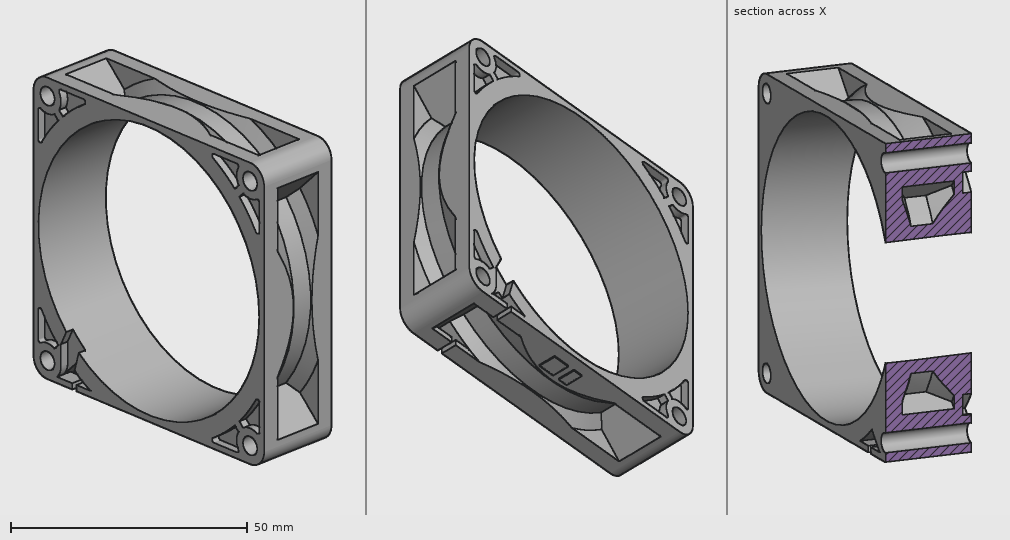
import cadquery as cq

frame_side = 70.0
frame_depth = 20.0
corner_radius = 4.2
bore_radius = 33.45
hole_inset = 4.3
hole_diameter = 4.3
flange_thickness = 4.0
rim_wall = 1.5

waist_radius = 34.8
flare_radius = 37.9
waist_front = 9.0
waist_back = 14.0
web_offset = 5.75

pocket_depth = 2.0
pocket_rounding = 0.55
rib_offset = 1.4
boss_radius = 4.1

cable_exit_angle = 270
slit_left = -23.2
slit_width = 1.3
channel_bore_left = (-24.8, -21.8)
channel_bend_z = -25.6
channel_notch_right = (-22.5, -30.45)
channel_bore_right = (-21.0, -24.95)

mark_height = 0.3
mark_front = 2.9
mark_width = 4.35
marks = [(-5.2, 4.3), (0.85, 2.45)]

half_side = frame_side / 2
hole_position = half_side - hole_inset
rim_inner = half_side - rim_wall
back_flange = frame_depth - flange_thickness
quarter_turns = [0, 90, 180, 270]


def plate(y_start):
    """Sketch plane facing the front, with local axes X and Z, at the given Y."""
    return cq.Workplane("XZ", origin=(0, y_start, 0))


def disc(x, z, radius, y_start, y_end):
    return plate(y_start).center(x, z).circle(radius).extrude(y_start - y_end)


def prism(points, y_start, y_end):
    return plate(y_start).polyline(points).close().extrude(y_start - y_end)


def turned(solid, angle):
    return solid.rotate((0, 0, 0), (0, 1, 0), angle)


def frame_block():
    block = plate(0).rect(frame_side, frame_side).extrude(-frame_depth)
    block = block.edges("|Y").fillet(corner_radius)
    block = block.cut(disc(0, 0, bore_radius, 0, frame_depth))
    holes = plate(0).rect(2 * hole_position, 2 * hole_position, forConstruction=True)
    return block.cut(holes.vertices().circle(hole_diameter / 2).extrude(-frame_depth))


def side_wedge(y_start, y_end):
    """Triangle between the two diagonal webs on the top side."""
    half_width = half_side - web_offset
    points = [(0, web_offset), (half_width, half_side), (-half_width, half_side)]
    return prism(points, y_start, y_end)


def side_window():
    """Opening in the top side, between the flanges and outside the flared barrel."""
    barrel = (
        cq.Workplane("XY")
        .moveTo(0, flange_thickness)
        .lineTo(flare_radius, flange_thickness)
        .lineTo(waist_radius, waist_front)
        .lineTo(waist_radius, waist_back)
        .lineTo(flare_radius, back_flange)
        .lineTo(0, back_flange)
        .close()
        .revolve(360, (0, 0, 0), (0, 1, 0))
    )
    return side_wedge(flange_thickness, back_flange).cut(barrel)


def corner_pocket():
    """Pocket to the left of the upper left diagonal, below the screw hole."""
    points = [(-rim_inner, 0), (-rib_offset, 0), (-rim_inner, rim_inner - rib_offset)]
    pocket = prism(points, 0, pocket_depth)
    pocket = pocket.cut(disc(0, 0, flare_radius, 0, pocket_depth))
    pocket = pocket.cut(disc(-hole_position, hole_position, boss_radius, 0, pocket_depth))
    return pocket.edges("|Y").edges("<X").fillet(pocket_rounding)


def cable_notch():
    """Triangular opening through both flanges, with a slit to the bottom face."""
    notch = turned(side_wedge(0, frame_depth), 180)
    notch = notch.cut(disc(0, 0, flare_radius, 0, frame_depth))
    left_region = [(-half_side, 0), (0, 0), (0, -rim_inner), (-half_side, -rim_inner)]
    notch = notch.intersect(prism(left_region, 0, frame_depth))
    slit_right = slit_left + slit_width
    slit = [
        (slit_left, -half_side),
        (slit_right, -half_side),
        (slit_right, -rim_inner),
        (slit_left, -rim_inner),
    ]
    return notch.union(prism(slit, 0, frame_depth))


def cable_channel():
    """Shallow groove in the front face from the bore to the cable notch."""
    left = boss_radius - hole_position
    notch_corner = (web_offset - rim_inner, -rim_inner)
    points = [
        channel_bore_left,
        (left, channel_bend_z),
        (left, -hole_position),
        notch_corner,
        channel_notch_right,
        channel_bore_right,
    ]
    channel = prism(points, 0, pocket_depth)
    return channel.cut(disc(-hole_position, -hole_position, boss_radius, 0, pocket_depth))


def raised_mark(left, length):
    size = (length, mark_width, mark_height)
    corner = (left, mark_front, -half_side - mark_height)
    return cq.Workplane("XY").box(*size, centered=False).translate(corner)


result = frame_block()

window = side_window()
for angle in quarter_turns:
    result = result.cut(turned(window, angle))

lower_pocket = corner_pocket()
upper_pocket = lower_pocket.mirror("XY")
for angle in quarter_turns:
    result = result.cut(turned(upper_pocket, angle))
    if angle != cable_exit_angle:
        result = result.cut(turned(lower_pocket, angle))

result = result.cut(cable_notch()).cut(cable_channel())

for left, length in marks:
    result = result.union(raised_mark(left, length))